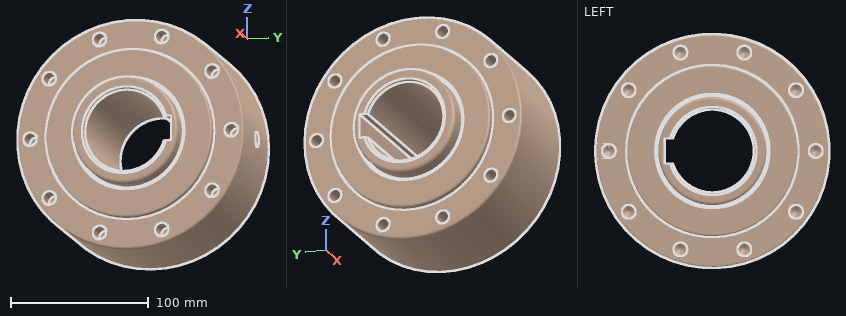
import cadquery as cq
import math

hub_length, hub_diameter = 114.0, 80.0
flange_length, flange_diameter = 89.0, 125.0
ring_length, ring_diameter = 78.0, 170.0
hub_fillet = 3.0
flange_fillet = 2.0
ring_fillet = 2.0

relief_width = 1.5

bore_diameter = 60.0
bore_chamfer = 2.0
key_width = 18.0
key_depth = 4.4

hole_count = 10
hole_circle_diameter = 150.0
hole_diameter = 10.0
hole_depth = 20.0
drill_point_angle = 118.0

radial_hole_diameter = 11.0
radial_hole_depth = 10.0


def disc(length, diameter, fillet):
    """Cylinder along X, centred on the origin, with both rims rounded."""
    cylinder = cq.Workplane("YZ").circle(diameter / 2).extrude(length / 2, both=True)
    return cylinder.faces("<X or >X").edges().fillet(fillet)


def make_body():
    hub = disc(hub_length, hub_diameter, hub_fillet)
    flange = disc(flange_length, flange_diameter, flange_fillet)
    ring = disc(ring_length, ring_diameter, ring_fillet)
    return ring.union(flange).union(hub)


def revolve_about_x(points):
    return cq.Workplane("XY").polyline(points).close().revolve(360, (0, 0, 0), (1, 0, 0))


def make_relief():
    """Triangular groove around the hub in the -X flange face."""
    face_x = -flange_length / 2
    hub_radius = hub_diameter / 2
    return revolve_about_x([
        (face_x, hub_radius),
        (face_x, hub_radius + relief_width),
        (face_x + relief_width, hub_radius),
    ])


def make_bore_chamfer():
    """Ring removed from the bore edge at the -X end."""
    end_x = -hub_length / 2
    bore_radius = bore_diameter / 2
    return revolve_about_x([
        (end_x, 0),
        (end_x, bore_radius + bore_chamfer),
        (end_x + bore_chamfer, bore_radius),
        (end_x + bore_chamfer, 0),
    ])


def make_bore():
    bore = cq.Workplane("YZ").circle(bore_diameter / 2).extrude(hub_length / 2, both=True)
    key_reach = bore_diameter / 2 + key_depth
    keyway = cq.Workplane("XY").box(hub_length, key_reach, key_width).translate((0, key_reach / 2, 0))
    return bore.union(keyway)


def make_ring_holes():
    """Drilled holes with conical bottoms, entering the -X ring face."""
    face_x = -ring_length / 2
    radius = hole_diameter / 2
    point_length = radius / math.tan(math.radians(drill_point_angle / 2))
    drill = revolve_about_x([
        (face_x, 0),
        (face_x, radius),
        (face_x + hole_depth, radius),
        (face_x + hole_depth + point_length, 0),
    ]).translate((0, hole_circle_diameter / 2, 0))
    holes = cq.Workplane("XY")
    for index in range(hole_count):
        holes = holes.add(drill.rotate((0, 0, 0), (1, 0, 0), index * 360 / hole_count))
    return holes.combine()


def make_radial_hole():
    ring_radius = ring_diameter / 2
    hole = cq.Workplane("XZ").circle(radial_hole_diameter / 2).extrude(-radial_hole_depth)
    return hole.translate((0, ring_radius - radial_hole_depth, 0))


result = make_body().cut(make_bore())
for end_cut in (make_relief(), make_bore_chamfer(), make_ring_holes()):
    result = result.cut(end_cut).cut(end_cut.mirror("YZ"))
result = result.cut(make_radial_hole())